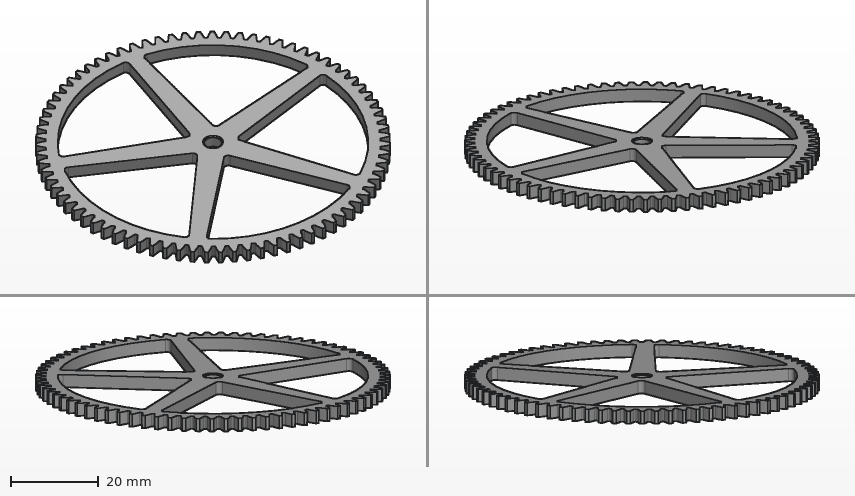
import cadquery as cq
import math

module = 1.0
tooth_count = 79
pressure_angle = math.radians(20)
thickness = 3.0
root_clearance = 0.25 * module
root_fillet = 0.33

pitch_radius = module * tooth_count / 2
tip_radius = pitch_radius + module
root_radius = pitch_radius - module - root_clearance
base_radius = pitch_radius * math.cos(pressure_angle)

spoke_count = 5
rim_inner_radius = 35.5
spoke_half_width_at_centre = 3.25
spoke_half_width_at_rim = 2.0
window_corner_radius = 1.0

bore_diameter = 4.0
bore_chamfer = 0.3


def polar(radius, angle):
    return (radius * math.cos(angle), radius * math.sin(angle))


def involute(angle):
    return math.tan(angle) - angle


def tooth_half_angle(radius):
    """Half the angle that a tooth with involute flanks spans at a given radius."""
    flank_angle = math.acos(base_radius / radius)
    return math.pi / (2 * tooth_count) + involute(pressure_angle) - involute(flank_angle)


def make_toothed_blank():
    tooth_pitch = 2 * math.pi / tooth_count
    root_half = tooth_half_angle(root_radius)
    pitch_half = tooth_half_angle(pitch_radius)
    tip_half = tooth_half_angle(tip_radius)

    outline = cq.Workplane("XY").moveTo(*polar(root_radius, -root_half))
    for index in range(tooth_count):
        centre = index * tooth_pitch
        next_centre = centre + tooth_pitch
        outline = (
            outline
            .threePointArc(polar(pitch_radius, centre - pitch_half), polar(tip_radius, centre - tip_half))
            .threePointArc(polar(tip_radius, centre), polar(tip_radius, centre + tip_half))
            .threePointArc(polar(pitch_radius, centre + pitch_half), polar(root_radius, centre + root_half))
            .threePointArc(
                polar(root_radius, centre + tooth_pitch / 2),
                polar(root_radius, next_centre - root_half),
            )
        )
    blank = outline.close().extrude(thickness)

    mid_radius = (root_radius + pitch_radius) / 2
    root_edges = [
        edge for edge in blank.edges("|Z").vals()
        if math.hypot(edge.Center().x, edge.Center().y) < mid_radius
    ]
    return blank.newObject(root_edges).fillet(root_fillet)


def make_window():
    """Opening between the spoke along +X and the next spoke counter-clockwise."""
    spoke_step = 2 * math.pi / spoke_count
    bisector = spoke_step / 2
    taper = (spoke_half_width_at_centre - spoke_half_width_at_rim) / rim_inner_radius
    apex_radius = spoke_half_width_at_centre / (math.sin(bisector) + taper * math.cos(bisector))
    rim_angle = math.asin(spoke_half_width_at_rim / rim_inner_radius)
    return (
        cq.Workplane("XY")
        .moveTo(*polar(apex_radius, bisector))
        .lineTo(*polar(rim_inner_radius, rim_angle))
        .threePointArc(
            polar(rim_inner_radius, bisector),
            polar(rim_inner_radius, spoke_step - rim_angle),
        )
        .close()
        .extrude(thickness)
        .edges("|Z")
        .fillet(window_corner_radius)
    )


def cut_windows(wheel):
    window = make_window()
    for index in range(spoke_count):
        turn = index * 360 / spoke_count
        wheel = wheel.cut(window.rotate((0, 0, 0), (0, 0, 1), turn))
    return wheel


def make_bore():
    bore_radius = bore_diameter / 2
    mouth_radius = bore_radius + bore_chamfer
    return (
        cq.Workplane("XZ")
        .polyline([
            (0, 0),
            (bore_radius, 0),
            (bore_radius, thickness - bore_chamfer),
            (mouth_radius, thickness),
            (0, thickness),
        ])
        .close()
        .revolve(360, (0, 0, 0), (0, 1, 0))
    )


result = cut_windows(make_toothed_blank()).cut(make_bore())